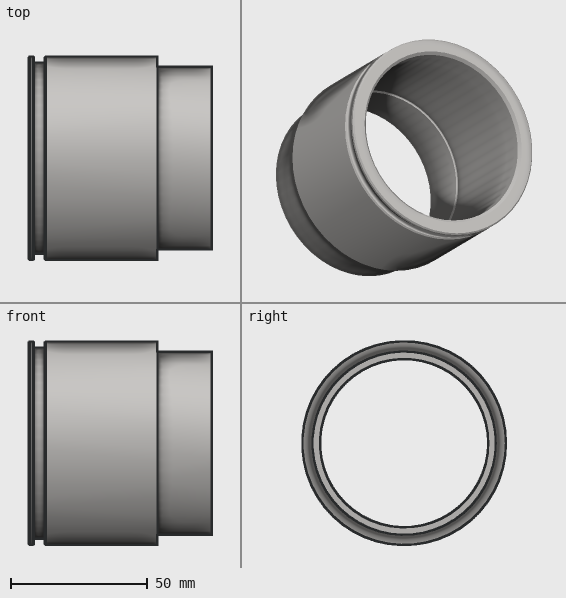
import cadquery as cq

total_length = 67.0
body_diameter = 74.5
groove_diameter = 70.0
spigot_diameter = 67.0
bore_diameter = 63.0
outlet_diameter = 61.4
mouth_diameter = 65.1

rim_width = 2.0
groove_end = 5.9
shoulder_position = 47.1
edge_chamfer = 0.5
mouth_chamfer_depth = 1.05


def cylinder(diameter, start, end):
    """Solid cylinder along X between two axial positions."""
    return cq.Workplane("YZ", origin=(start, 0, 0)).circle(diameter / 2).extrude(end - start)


rim = cylinder(body_diameter, 0, rim_width).edges().chamfer(edge_chamfer)
groove_core = cylinder(groove_diameter, 0, shoulder_position)
body = cylinder(body_diameter, groove_end, shoulder_position).edges("<X").chamfer(edge_chamfer)
spigot = cylinder(spigot_diameter, shoulder_position, total_length)
outer = groove_core.union(rim).union(body).union(spigot)

main_bore = cylinder(bore_diameter, 0, shoulder_position)
outlet = cylinder(outlet_diameter, 0, total_length)
mouth = (
    cq.Workplane("YZ")
    .circle(mouth_diameter / 2)
    .workplane(offset=mouth_chamfer_depth)
    .circle(bore_diameter / 2)
    .loft()
)

result = outer.cut(main_bore).cut(outlet).cut(mouth)